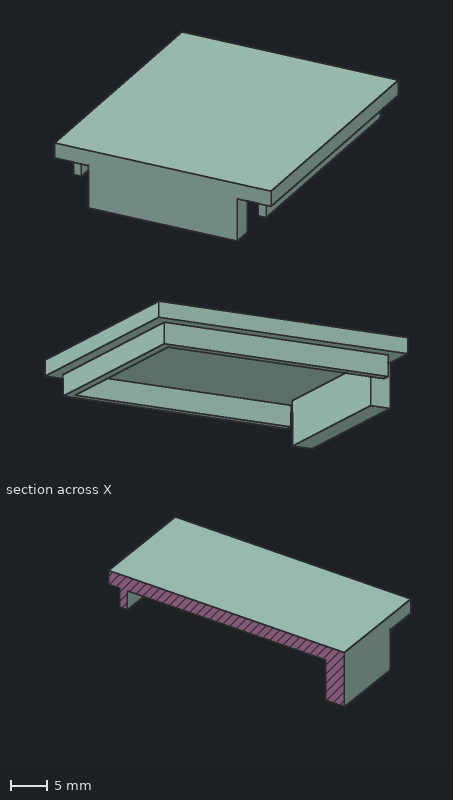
import cadquery as cq

plate_width = 33.6
plate_length = 39.1
plate_thickness = 2.35
total_height = 8.9

rim_inset = 1.85
rim_front_inset = 2.15
rim_wall = 1.25
rim_height = 3.1

tab_width = 23.1
tab_thickness = 3.1
tab_height = total_height - plate_thickness

plate_front = -plate_length / 2
plate_back = plate_length / 2


def hanging_block(width, front, back, height):
    """Block centred in X, from y=front to y=back, hanging down from the plate underside at z=0."""
    return (
        cq.Workplane("XY")
        .box(width, back - front, height, centered=(True, False, False))
        .translate((0, front, -height))
    )


def make_plate():
    return cq.Workplane("XY").box(
        plate_width, plate_length, plate_thickness, centered=(True, True, False)
    )


def make_rim():
    rim_width = plate_width - 2 * rim_inset
    rim_front = plate_front + rim_front_inset
    rim_back = plate_back - rim_inset
    outer = hanging_block(rim_width, rim_front, rim_back, rim_height)
    inner = hanging_block(rim_width - 2 * rim_wall, rim_front, rim_back - rim_wall, rim_height)
    return outer.cut(inner)


def make_tab():
    return hanging_block(tab_width, plate_front, plate_front + tab_thickness, tab_height)


result = make_plate().union(make_rim()).union(make_tab())